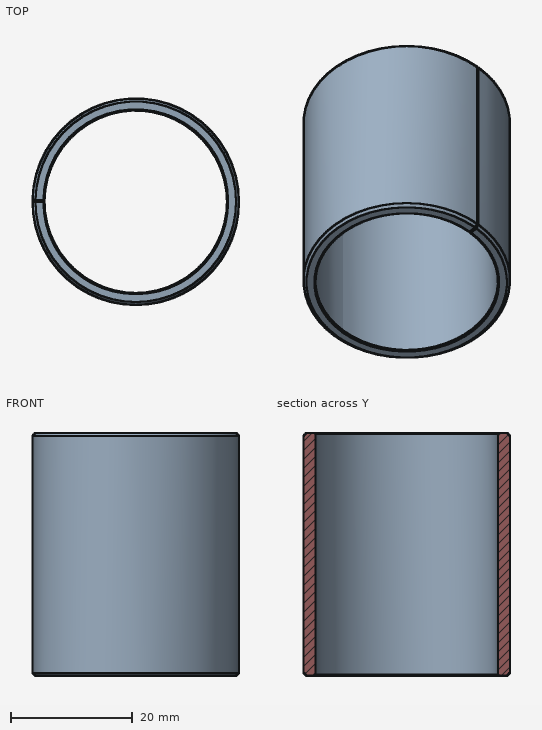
import cadquery as cq
import math

outer_diameter = 34.0
wall_thickness = 2.0
length = 40.0
outer_chamfer = 0.5
inner_chamfer = 0.2
seam_angle = 1.0

outer_radius = outer_diameter / 2
inner_radius = outer_radius - wall_thickness


def sleeve():
    """Closed ring revolved about Z, chamfered inside and outside at both ends."""
    outer_end_radius = outer_radius - outer_chamfer
    inner_end_radius = inner_radius + inner_chamfer
    axis_start = (0, 0, 0)
    axis_end = (0, 1, 0)
    return (
        cq.Workplane("XZ")
        .moveTo(inner_radius, inner_chamfer)
        .lineTo(inner_end_radius, 0)
        .lineTo(outer_end_radius, 0)
        .lineTo(outer_radius, outer_chamfer)
        .lineTo(outer_radius, length - outer_chamfer)
        .lineTo(outer_end_radius, length)
        .lineTo(inner_end_radius, length)
        .lineTo(inner_radius, length - inner_chamfer)
        .close()
        .revolve(360, axis_start, axis_end)
    )


def seam_wedge():
    """Full-length radial wedge at the -X side, opening from the XZ plane toward +Y."""
    reach = outer_diameter
    opening = reach * math.tan(math.radians(seam_angle))
    return (
        cq.Workplane("XY")
        .moveTo(0, 0)
        .lineTo(-reach, 0)
        .lineTo(-reach, opening)
        .close()
        .extrude(length)
    )


result = sleeve().cut(seam_wedge())